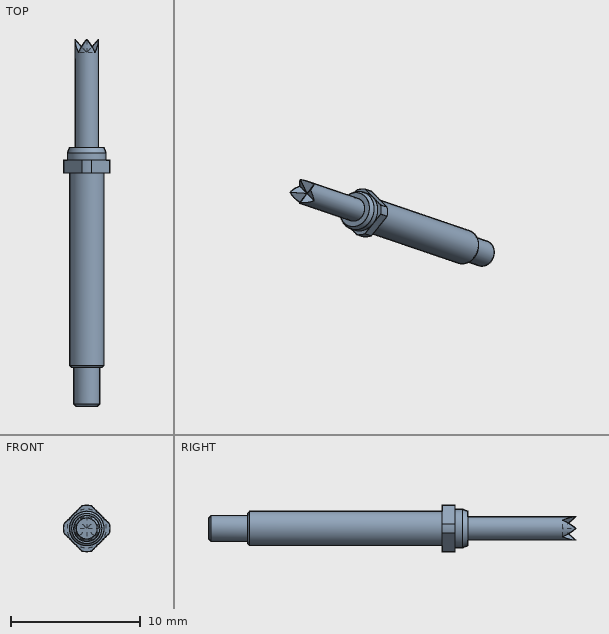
import cadquery as cq
import math

total_length = 28.3
tip_y = total_length / 2
tail_y = -total_length / 2

tail_diameter = 2.0
tail_length = 3.0
tail_chamfer = 0.2

barrel_diameter = 2.65
barrel_length = 15.0
barrel_chamfer = 0.17

flange_width = 3.0
flange_corner_diameter = 3.6
flange_thickness = 1.0

collar_diameter = 3.0
collar_end_diameter = 2.65
collar_length = 1.0
collar_taper_length = 0.42

plunger_diameter = 1.8
groove_depth = 1.02
groove_angles = (45, 135)
groove_half_width = plunger_diameter / 2 * math.sin(math.radians(45))

barrel_start_y = tail_y + tail_length
flange_start_y = barrel_start_y + barrel_length
collar_start_y = flange_start_y + flange_thickness
plunger_start_y = collar_start_y + collar_length
plunger_length = tip_y - plunger_start_y


def plane_at(y):
    """Plane across the axis at the given Y, extruding toward +Y."""
    return cq.Workplane(cq.Plane(origin=(0, y, 0), xDir=(1, 0, 0), normal=(0, 1, 0)))


def rod(start_y, length, diameter):
    return plane_at(start_y).circle(diameter / 2).extrude(length)


def make_tail():
    return rod(tail_y, tail_length, tail_diameter).faces("<Y").chamfer(tail_chamfer)


def make_barrel():
    return rod(barrel_start_y, barrel_length, barrel_diameter).faces("<Y").chamfer(barrel_chamfer)


def make_flange():
    square = (
        plane_at(flange_start_y)
        .transformed(rotate=(0, 0, 45))
        .rect(flange_width, flange_width)
        .extrude(flange_thickness)
    )
    return square.intersect(rod(flange_start_y, flange_thickness, flange_corner_diameter))


def make_collar():
    taper_depth = (collar_diameter - collar_end_diameter) / 2
    collar = rod(collar_start_y, collar_length, collar_diameter)
    return collar.faces(">Y").edges().chamfer(collar_taper_length, taper_depth)


def make_groove(angle):
    """V groove across the whole plunger end, turned about the axis; it rises past the tip."""
    return (
        cq.Workplane("XY")
        .moveTo(0, tip_y - groove_depth)
        .lineTo(2 * groove_half_width, tip_y + groove_depth)
        .lineTo(-2 * groove_half_width, tip_y + groove_depth)
        .close()
        .extrude(plunger_diameter, both=True)
        .rotate((0, 0, 0), (0, 1, 0), angle)
    )


def make_plunger():
    plunger = rod(plunger_start_y, plunger_length, plunger_diameter)
    for angle in groove_angles:
        plunger = plunger.cut(make_groove(angle))
    return plunger


result = (
    make_tail()
    .union(make_barrel())
    .union(make_flange())
    .union(make_collar())
    .union(make_plunger())
)